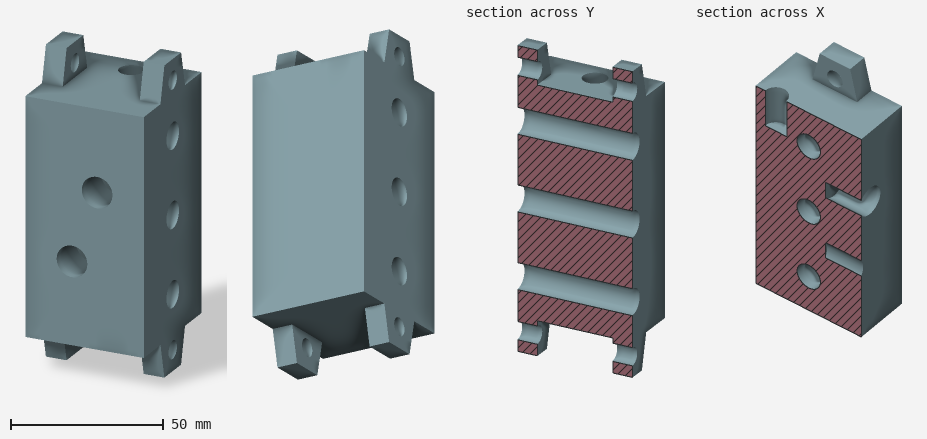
import cadquery as cq

width = 42.93
depth = 43.94
body_height = 84.84
overall_height = 109.98

ear_thickness = 7.5
ear_root_width = 18.6
ear_tip_width = 12.7
ear_hole_diameter = 6.4
ear_hole_offset_from_tip = 7.5

cross_hole_diameter = 9.525
cross_hole_pitch = 27.9

front_port_diameter = 11.1
front_port_depth = 15.0
front_port_x = 4.55
front_port_z = 12.9

top_port_diameter = 8.7
top_port_depth = 15.0
top_port_y = 13.6

ear_hole_z = overall_height / 2 - ear_hole_offset_from_tip


def make_body():
    return cq.Workplane("XY").box(width, depth, body_height)


def make_ears():
    """Tapered slab through the body, with its middle removed to leave ear pairs."""
    root_z = body_height / 2
    tip_z = overall_height / 2
    root_y = ear_root_width / 2
    tip_y = ear_tip_width / 2
    outline = [
        (-root_y, -root_z),
        (-tip_y, -tip_z),
        (tip_y, -tip_z),
        (root_y, -root_z),
        (root_y, root_z),
        (tip_y, tip_z),
        (-tip_y, tip_z),
        (-root_y, root_z),
    ]
    slab = cq.Workplane("YZ").polyline(outline).close().extrude(width / 2, both=True)
    gap = cq.Workplane("XY").box(width - 2 * ear_thickness, depth, overall_height)
    return slab.cut(gap)


def make_x_holes(diameter, z_positions):
    """Holes along X through the whole part on the Y centre line."""
    centres = [(0, z) for z in z_positions]
    return cq.Workplane("YZ").pushPoints(centres).circle(diameter / 2).extrude(width, both=True)


def make_front_ports():
    centres = [(front_port_x, front_port_z), (-front_port_x, -front_port_z)]
    front_face = cq.Workplane("XZ", origin=(0, -depth / 2, 0))
    return front_face.pushPoints(centres).circle(front_port_diameter / 2).extrude(-front_port_depth)


def make_top_port():
    top_face = cq.Workplane("XY", origin=(0, top_port_y, body_height / 2))
    return top_face.circle(top_port_diameter / 2).extrude(-top_port_depth)


result = make_body().union(make_ears())
result = result.cut(make_x_holes(cross_hole_diameter, [-cross_hole_pitch, 0, cross_hole_pitch]))
result = result.cut(make_x_holes(ear_hole_diameter, [-ear_hole_z, ear_hole_z]))
result = result.cut(make_front_ports())
result = result.cut(make_top_port())